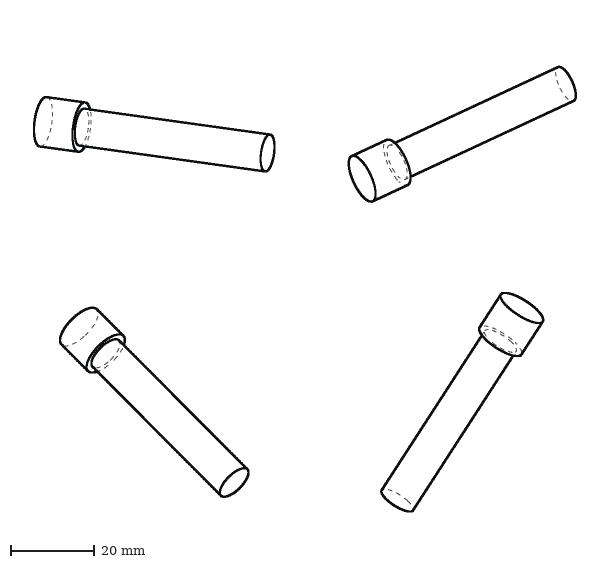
import cadquery as cq

total_length = 58.0
head_length = 10.0
head_diameter = 12.0
shank_diameter = 9.0

head = cq.Workplane("YZ").circle(head_diameter / 2).extrude(head_length)

shank_length = total_length - head_length
result = head.faces(">X").workplane().circle(shank_diameter / 2).extrude(shank_length)